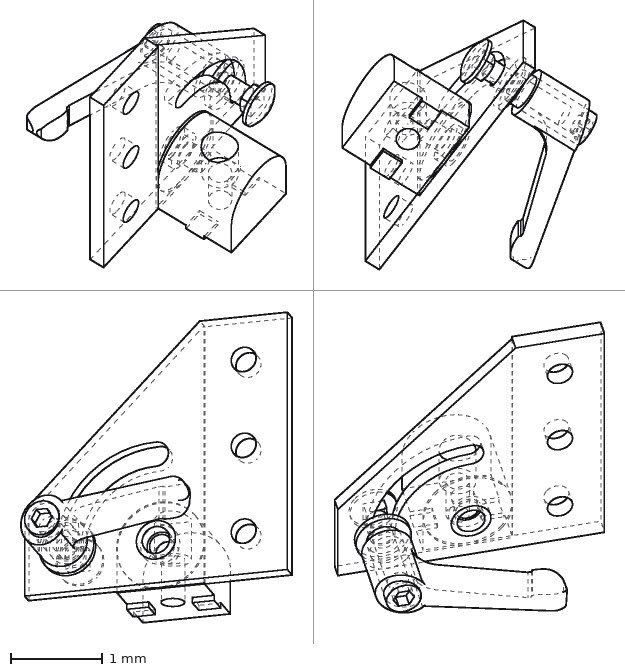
import cadquery as cq
import math


rail_hole_count = 3
pitch = 3.0 / rail_hole_count
half_pitch = pitch / 2
plate_bottom = -half_pitch
plate_height = rail_hole_count * pitch
plate_top = plate_bottom + plate_height
plate_side = plate_height / 2

plate_thickness = 0.187
relief_depth = 0.03
hole_radius = 0.14

sleeve_radius = 0.223
bearing_bore_radius = 0.155

block_length = pitch
screw_x = 0.655
screw_hole_radius = 0.13
counterbore_radius = 0.202
pivot_hole_depth = 0.245
tab_side = 0.25
tab_height = 0.06

clamp_y = pitch
bolt_radius = 0.12
bolt_tip_x = -0.735
neck_start_x = 0.272
neck_bevel = 0.015
head_x = 0.415
head_radius = 0.265
head_rim = 0.045
head_height = 0.14
washer_radius = 0.312
washer_thickness = 0.073
insert_radius = 0.195
insert_end_x = -1.03
socket_depth = 0.145
socket_diameter = 0.235

hub_radius = 0.285
hub_end_x = -0.23
arm_half_width = 0.19
arm_round_centre = 1.575
outer_face_x = -0.958
outer_angle = 16.4
inner_face_x = -0.627
inner_angle = 20.2
inner_face_end = 1.368
root_fillet = 0.288
arm_edge_fillet = 0.03
tip_fillet = 0.045
tip_corner = 1.72

notch_bottom = (-1.132, 1.41)
belly_start = (-1.108, 1.425)
belly_middle = (-1.15, 1.635)
belly_end = (-1.227, 1.745)
end_ridge = (-1.297, 1.775)


def x_cylinder(radius, x_start, x_end, y=0.0):
    """Cylinder along X between two X positions, at height Z = 0."""
    return cq.Workplane("YZ", origin=(x_start, y, 0)).circle(radius).extrude(x_end - x_start)


def make_plate():
    outline = [
        (-plate_side, plate_bottom),
        (plate_side, plate_bottom),
        (plate_side, half_pitch),
        (-half_pitch, plate_top),
        (-plate_side, plate_top),
    ]
    plate = cq.Workplane("YZ").polyline(outline).close().extrude(plate_thickness)

    relief = cq.Workplane("XY").box(
        relief_depth, plate_side + half_pitch, plate_height, centered=False
    ).translate((plate_thickness - relief_depth, -half_pitch, plate_bottom))
    plate = plate.cut(relief)

    for step in range(rail_hole_count):
        plate = plate.cut(
            x_cylinder(hole_radius, 0, plate_thickness, -pitch).translate((0, 0, step * pitch))
        )

    outer = pitch + hole_radius
    inner = pitch - hole_radius
    diagonal = math.sqrt(0.5)
    slot = (
        cq.Workplane("YZ")
        .moveTo(0, inner)
        .threePointArc((-hole_radius, pitch), (0, outer))
        .threePointArc((outer * diagonal, outer * diagonal), (outer, 0))
        .threePointArc((pitch, -hole_radius), (inner, 0))
        .threePointArc((inner * diagonal, inner * diagonal), (0, inner))
        .close()
        .extrude(plate_thickness)
    )
    return plate.cut(slot).cut(x_cylinder(sleeve_radius, 0, plate_thickness))


def make_bearing():
    """Sleeve through the plate with a thin flange that fills the relief behind it."""
    sleeve = x_cylinder(sleeve_radius, 0, plate_thickness)
    flange = x_cylinder(half_pitch, plate_thickness - relief_depth, plate_thickness)
    return sleeve.union(flange).cut(x_cylinder(bearing_bore_radius, 0, plate_thickness))


def make_block():
    block = (
        cq.Workplane("YZ", origin=(plate_thickness, 0, 0))
        .moveTo(-half_pitch, plate_bottom)
        .lineTo(half_pitch, plate_bottom)
        .lineTo(half_pitch, 0)
        .threePointArc((0, half_pitch), (-half_pitch, 0))
        .close()
        .extrude(block_length)
    )
    tab_y = half_pitch - tab_side / 2
    for y in (-tab_y, tab_y):
        tab = cq.Workplane("XY").box(tab_side, tab_side, tab_height, centered=(True, True, False))
        block = block.union(
            tab.translate((plate_thickness + block_length / 2, y, plate_bottom - tab_height))
        )

    screw_axis = cq.Workplane("XY", origin=(screw_x, 0, 0))
    block = block.cut(screw_axis.circle(screw_hole_radius).extrude(plate_bottom))
    block = block.cut(screw_axis.circle(counterbore_radius).extrude(half_pitch))

    return block.cut(
        x_cylinder(screw_hole_radius, plate_thickness, plate_thickness + pivot_hole_depth)
    )


def make_washer():
    return x_cylinder(washer_radius, -washer_thickness, 0, clamp_y).cut(
        x_cylinder(bolt_radius, -washer_thickness, 0, clamp_y)
    )


def make_insert():
    """Threaded sleeve through the lever hub, with a hexagon socket in its outer end."""
    insert = x_cylinder(insert_radius, insert_end_x, -washer_thickness, clamp_y)
    insert = insert.cut(x_cylinder(bolt_radius, bolt_tip_x, -washer_thickness, clamp_y))
    socket = (
        cq.Workplane("YZ", origin=(insert_end_x, clamp_y, 0))
        .polygon(6, socket_diameter)
        .extrude(socket_depth)
    )
    return insert.cut(socket)


def make_bolt():
    """Carriage bolt with a square neck and a domed head."""
    shank = x_cylinder(bolt_radius, bolt_tip_x, head_x, clamp_y)

    neck = (
        cq.Workplane("YZ", origin=(neck_start_x, clamp_y, 0))
        .rect(2 * bolt_radius, 2 * bolt_radius)
        .extrude(head_x - neck_start_x)
    )
    corner_radius = bolt_radius * math.sqrt(2)
    neck_envelope = (
        cq.Workplane("XY", origin=(0, clamp_y, 0))
        .moveTo(neck_start_x, 0)
        .lineTo(neck_start_x, bolt_radius)
        .lineTo(neck_start_x + neck_bevel, corner_radius)
        .lineTo(head_x, corner_radius)
        .lineTo(head_x, 0)
        .close()
        .revolve(360, (0, 0, 0), (1, 0, 0))
    )

    dome_height = head_height - head_rim
    dome_radius = (head_radius**2 + dome_height**2) / (2 * dome_height)
    head_end = head_x + head_height
    mid_radius = head_radius / 2
    mid_x = head_end - dome_radius + math.sqrt(dome_radius**2 - mid_radius**2)
    head = (
        cq.Workplane("XY", origin=(0, clamp_y, 0))
        .moveTo(head_x, 0)
        .lineTo(head_x, head_radius)
        .lineTo(head_x + head_rim, head_radius)
        .threePointArc((mid_x, mid_radius), (head_end, 0))
        .close()
        .revolve(360, (0, 0, 0), (1, 0, 0))
    )
    return shank.union(neck.intersect(neck_envelope)).union(head)


def outer_x(distance):
    """X of the outer lever face at a distance along the arm."""
    return outer_face_x - distance * math.tan(math.radians(outer_angle))


def inner_x(distance):
    """X of the inner lever face at a distance along the arm."""
    return inner_face_x - distance * math.tan(math.radians(inner_angle))


def arm_point(x, distance):
    """Sketch point at an X and a distance along the arm, which runs toward -Y."""
    return (x, -distance)


def outer_half_space():
    """Large solid on the plate side of the slanted outer lever face."""
    margin = 2 * hub_radius
    end = 2 * arm_round_centre
    return (
        cq.Workplane("XY", origin=(0, clamp_y, -margin))
        .moveTo(outer_x(-margin), margin)
        .lineTo(0, margin)
        .lineTo(0, -end)
        .lineTo(outer_x(end), -end)
        .close()
        .extrude(2 * margin)
    )


def make_arm():
    """Straight arm with a round end, before it joins the hub."""
    reach = arm_round_centre + arm_half_width
    bar = (
        cq.Workplane("YZ", origin=(hub_end_x, clamp_y, 0))
        .moveTo(0, -arm_half_width)
        .lineTo(0, arm_half_width)
        .lineTo(-arm_round_centre, arm_half_width)
        .threePointArc((-reach, 0), (-arm_round_centre, -arm_half_width))
        .close()
        .extrude(outer_x(2 * reach) - hub_end_x)
    )
    bar = bar.intersect(outer_half_space())
    bar = bar.faces("<X").edges("not(>Y)").fillet(arm_edge_fillet)

    profile = (
        cq.Workplane("XY", origin=(0, clamp_y, -arm_half_width))
        .moveTo(outer_x(0), 0)
        .lineTo(inner_x(0), 0)
        .lineTo(*arm_point(inner_x(inner_face_end), inner_face_end))
        .lineTo(*arm_point(*notch_bottom))
        .lineTo(*arm_point(*belly_start))
        .threePointArc(arm_point(*belly_middle), arm_point(*belly_end))
        .lineTo(*arm_point(*end_ridge))
        .lineTo(*arm_point(outer_x(tip_corner), tip_corner))
        .close()
        .extrude(2 * arm_half_width)
    )
    profile = profile.edges("|Z").edges("<X").fillet(tip_fillet)
    return bar.intersect(profile)


def make_lever():
    hub_start_x = outer_x(2 * hub_radius)
    hub = x_cylinder(hub_radius, hub_start_x, hub_end_x, clamp_y)
    hub = hub.intersect(outer_half_space())
    lever = hub.union(make_arm())
    root = cq.selectors.NearestToPointSelector((inner_x(hub_radius), clamp_y - hub_radius, 0))
    lever = lever.edges(root).fillet(root_fillet)
    return lever.cut(x_cylinder(insert_radius, hub_start_x, hub_end_x, clamp_y))


plate = make_plate()
bearing = make_bearing()
block = make_block()
washer = make_washer()
insert = make_insert()
bolt = make_bolt()
lever = make_lever()

result = cq.Compound.makeCompound(
    [
        plate.val(),
        bearing.val(),
        block.val(),
        washer.val(),
        insert.val(),
        bolt.val(),
        lever.val(),
    ]
)